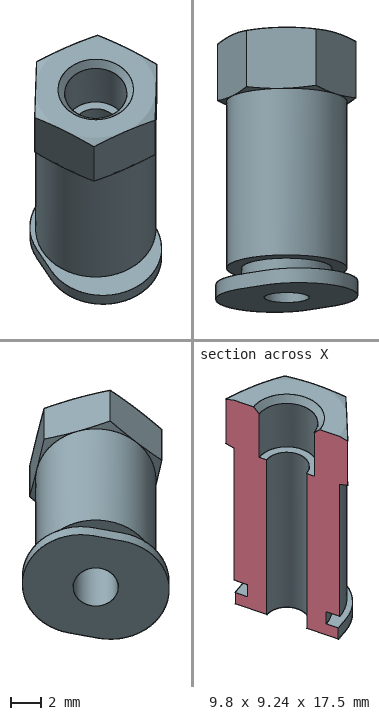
import cadquery as cq
import math

total_height = 17.5
collar_thickness = 1.0
neck_length = 1.0
hex_height = 4.16
body_bottom = collar_thickness + neck_length
hex_bottom = total_height - hex_height

body_diameter = 8.0
neck_diameter = 6.0
hex_across_flats = body_diameter
hex_across_corners = hex_across_flats / math.cos(math.radians(30))
hex_chamfer_angle = 15.0
collar_length = 9.8
collar_width = 7.8

through_diameter = 3.0
socket_diameter = 4.13
socket_mouth_diameter = 5.0
socket_depth = hex_height
overlap = 0.18


def cylinder(diameter, bottom, top):
    return cq.Workplane("XY").workplane(offset=bottom).circle(diameter / 2).extrude(top - bottom)


def make_hex_head():
    """Hexagon with corners on Y, its corners turned off conically at both ends."""
    prism = (
        cq.Workplane("XY")
        .workplane(offset=hex_bottom)
        .polygon(6, hex_across_corners)
        .extrude(hex_height)
        .rotate((0, 0, 0), (0, 0, 1), 90)
    )
    end_radius = hex_across_flats / 2
    outer_radius = hex_across_corners / 2 + overlap
    cone_height = (outer_radius - end_radius) * math.tan(math.radians(hex_chamfer_angle))
    turned_envelope = (
        cq.Workplane("XZ")
        .moveTo(0, hex_bottom)
        .lineTo(end_radius, hex_bottom)
        .lineTo(outer_radius, hex_bottom + cone_height)
        .lineTo(outer_radius, total_height - cone_height)
        .lineTo(end_radius, total_height)
        .lineTo(0, total_height)
        .close()
        .revolve(360, (0, 0, 0), (0, 1, 0))
    )
    return prism.intersect(turned_envelope)


def make_bore():
    """Through hole, wider socket from the top and a 45 degree lead-in."""
    lead_in = (socket_mouth_diameter - socket_diameter) / 2
    through_radius = through_diameter / 2
    socket_radius = socket_diameter / 2
    socket_bottom = total_height - socket_depth
    return (
        cq.Workplane("XZ")
        .moveTo(0, 0)
        .lineTo(through_radius, 0)
        .lineTo(through_radius, socket_bottom)
        .lineTo(socket_radius, socket_bottom)
        .lineTo(socket_radius, total_height - lead_in)
        .lineTo(socket_mouth_diameter / 2, total_height)
        .lineTo(0, total_height)
        .close()
        .revolve(360, (0, 0, 0), (0, 1, 0))
    )


collar = cq.Workplane("XY").slot2D(collar_length, collar_width).extrude(collar_thickness)
neck = cylinder(neck_diameter, collar_thickness - overlap, body_bottom + overlap)
body = cylinder(body_diameter, body_bottom, hex_bottom + overlap)

result = collar.union(neck).union(body).union(make_hex_head()).cut(make_bore())